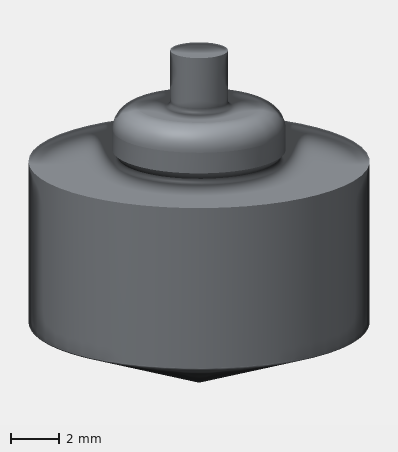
import cadquery as cq
import math

overall_height = 14.38
base_radius = 14.2 / 2
cone_angle = 20.0
base_edge_fillet = 0.1
step_height = 2.4
collar_radius = 7.2 / 2
collar_top_fillet = 1.0
pin_radius = 2.4 / 2
foot_fillet = 0.2
neck_inset = 0.25
neck_bevel_height = 0.3

cone_height = base_radius * math.tan(math.radians(cone_angle))
collar_top = overall_height - step_height
base_top = collar_top - step_height
neck_radius = collar_radius - neck_inset
neck_bottom = base_top + foot_fillet


def point_on_circle(center_x, center_z, radius, angle):
    """Point on a circle in the XZ plane, at an angle in degrees from +X."""
    return (
        center_x + radius * math.cos(math.radians(angle)),
        center_z + radius * math.sin(math.radians(angle)),
    )


def revolve_profile(profile):
    """Revolve a closed XZ half profile about the Z axis."""
    return profile.close().revolve(360, (0, 0, 0), (0, 1, 0))


def make_base():
    """Cylinder with a conical underside and a rounded lower edge."""
    profile = (
        cq.Workplane("XZ")
        .moveTo(0, 0)
        .lineTo(base_radius, cone_height)
        .lineTo(base_radius, base_top)
        .lineTo(0, base_top)
    )
    rim = cq.selectors.NearestToPointSelector((-base_radius, 0, cone_height))
    return revolve_profile(profile).edges(rim).fillet(base_edge_fillet)


def make_plunger():
    """Collar with a narrowed neck below it and a pin on top of it."""
    neck_arc = point_on_circle(neck_radius + foot_fillet, neck_bottom, foot_fillet, 225)
    collar_arc = point_on_circle(
        collar_radius - collar_top_fillet, collar_top - collar_top_fillet, collar_top_fillet, 45
    )
    pin_arc = point_on_circle(pin_radius + foot_fillet, collar_top + foot_fillet, foot_fillet, 225)
    profile = (
        cq.Workplane("XZ")
        .moveTo(0, base_top)
        .lineTo(neck_radius + foot_fillet, base_top)
        .threePointArc(neck_arc, (neck_radius, neck_bottom))
        .lineTo(collar_radius, neck_bottom + neck_bevel_height)
        .lineTo(collar_radius, collar_top - collar_top_fillet)
        .threePointArc(collar_arc, (collar_radius - collar_top_fillet, collar_top))
        .lineTo(pin_radius + foot_fillet, collar_top)
        .threePointArc(pin_arc, (pin_radius, collar_top + foot_fillet))
        .lineTo(pin_radius, overall_height)
        .lineTo(0, overall_height)
    )
    return revolve_profile(profile)


base = make_base()
plunger = make_plunger()
result = cq.Compound.makeCompound([base.val(), plunger.val()])